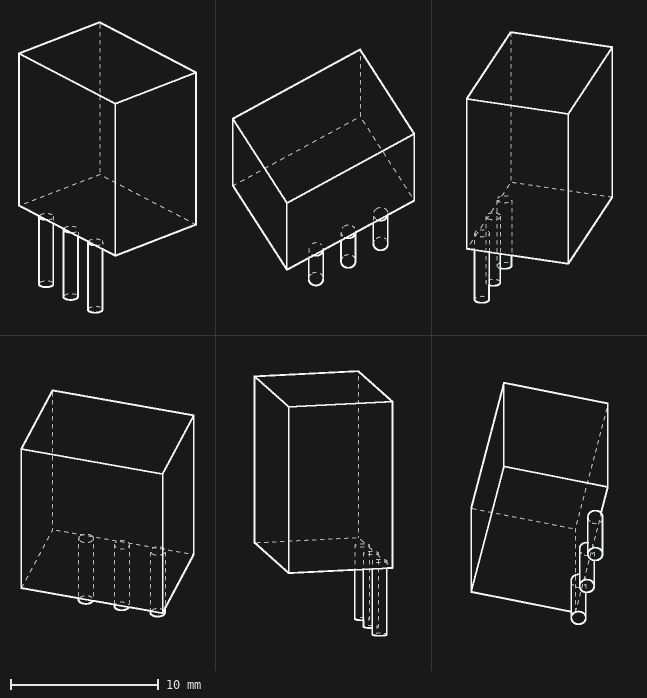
import cadquery as cq

total_height = 16.6
total_depth = 7.39

housing_width = 10.0
housing_depth = 7.2
housing_height = 11.5

pin_diameter = 1.0
pin_pitch = 2.54
pin_count = 3
pin_length = total_height - housing_height

housing_front_y = -housing_depth / 2
pin_overhang = total_depth - housing_depth
pin_y = housing_front_y - pin_overhang + pin_diameter / 2


def make_housing():
    """Plain block standing on the XY plane, centred on the Z axis."""
    return cq.Workplane("XY").box(
        housing_width, housing_depth, housing_height, centered=(True, True, False)
    )


def make_pin(x):
    """Straight round pin hanging from the underside of the housing."""
    return cq.Workplane("XY").center(x, pin_y).circle(pin_diameter / 2).extrude(-pin_length)


housing = make_housing()

pins = []
for index in range(pin_count):
    pin_x = (index - (pin_count - 1) / 2) * pin_pitch
    pins.append(make_pin(pin_x).val())

result = cq.Compound.makeCompound([housing.val(), *pins])